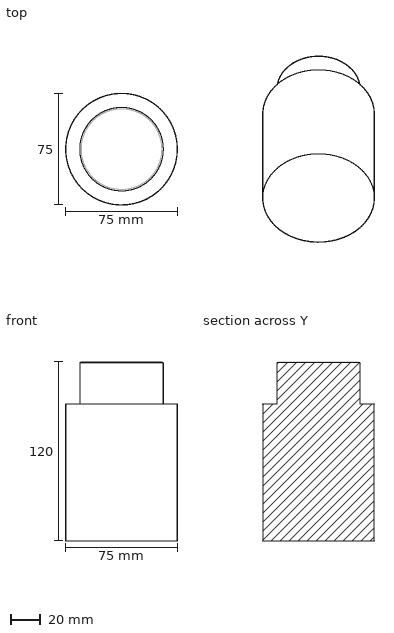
import cadquery as cq

total_height = 120.0
body_diameter = 75.0
boss_diameter = 56.0
boss_height = 28.0
rim_radius = 1.0

body_height = total_height - boss_height

body = cq.Workplane("XY").circle(body_diameter / 2).extrude(body_height)

boss = (
    cq.Workplane("XY")
    .workplane(offset=body_height)
    .circle(boss_diameter / 2)
    .extrude(boss_height)
    .faces(">Z")
    .edges()
    .fillet(rim_radius)
)

result = body.union(boss)